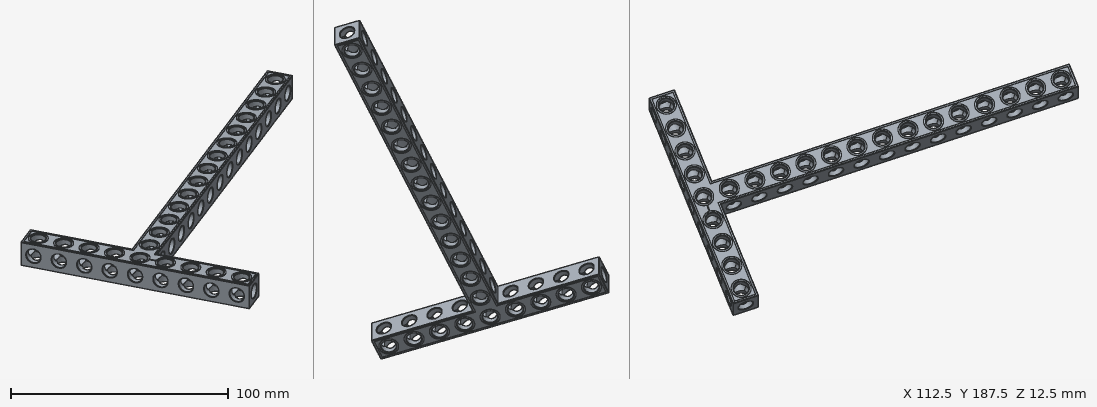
import cadquery as cq

pitch = 12.5
bar_width = pitch
crossbar_holes = 9
stem_holes = 14
hole_diameter = 7.0
edge_chamfer = 0.3

collar_diameter = 9.2
panel_depth = 0.2
rib_width = 0.4

half_width = bar_width / 2
half_crossbar = crossbar_holes * pitch / 2
stem_end = stem_holes * pitch + half_width
hole_radius = hole_diameter / 2
collar_radius = collar_diameter / 2
rim_width = collar_radius - hole_radius

crossbar_x = [(i + 0.5) * pitch - half_crossbar for i in range(crossbar_holes)]
stem_y = [(i + 1) * pitch for i in range(stem_holes)]
vertical_holes = [(x, 0) for x in crossbar_x] + [(0, y) for y in stem_y]


def tee(inset, bottom, height):
    """T-shaped prism standing on Z = bottom, its outline moved inwards by inset."""
    end_x = half_crossbar - inset
    side = half_width - inset
    end_y = stem_end - inset
    outline = [
        (-end_x, -side),
        (end_x, -side),
        (end_x, side),
        (side, side),
        (side, end_y),
        (-side, end_y),
        (-side, side),
        (-end_x, side),
    ]
    return cq.Workplane("XY", origin=(0, 0, bottom)).polyline(outline).close().extrude(height)


def chamfered_body():
    """Solid T with every edge chamfered except the two concave inner corners."""
    body = tee(0, -half_width, bar_width)
    inner_corners = body.edges("|Z").filter(
        lambda edge: abs(edge.Center().x) <= pitch and abs(edge.Center().y) <= pitch
    )
    convex_edges = [
        edge for edge in body.edges().vals() if not any(edge.isSame(corner) for corner in inner_corners.vals())
    ]
    return body.newObject(convex_edges).chamfer(edge_chamfer)


def panel(bottom):
    """Shallow recess between the rim and the collars, standing on Z = bottom."""
    plane = cq.Workplane("XY", origin=(0, 0, bottom))
    collars = plane.pushPoints(vertical_holes).circle(collar_radius).extrude(panel_depth)
    return tee(rim_width, bottom, panel_depth).cut(collars)


def collar_rib(bottom):
    """Rib from the collar at the origin to its neighbour on the +X side."""
    plane = cq.Workplane("XY", origin=(pitch / 2, 0, bottom))
    return plane.rect(pitch - hole_diameter, rib_width).extrude(panel_depth)


def bore(start, direction, length):
    """Through hole from start along direction, chamfered at both mouths."""
    first = cq.Vector(*start)
    axis = cq.Vector(*direction)
    hole = cq.Workplane(cq.Solid.makeCylinder(hole_radius, length, first, axis))
    for mouth, inward in ((first, axis), (first + axis * length, -axis)):
        cone = cq.Solid.makeCone(hole_radius + edge_chamfer, hole_radius, edge_chamfer, mouth, inward)
        hole = hole.union(cq.Workplane(cone))
    return hole


upper_panel = half_width - panel_depth
result = chamfered_body()
result = result.cut(panel(-half_width))
result = result.cut(panel(upper_panel).cut(collar_rib(upper_panel)))

for x, y in vertical_holes:
    result = result.cut(bore((x, y, -half_width), (0, 0, 1), bar_width))

for x in crossbar_x:
    exit_y = stem_end if x == 0 else half_width
    result = result.cut(bore((x, -half_width, 0), (0, 1, 0), exit_y + half_width))

result = result.cut(bore((-half_crossbar, 0, 0), (1, 0, 0), 2 * half_crossbar))
for y in stem_y:
    result = result.cut(bore((-half_width, y, 0), (1, 0, 0), bar_width))